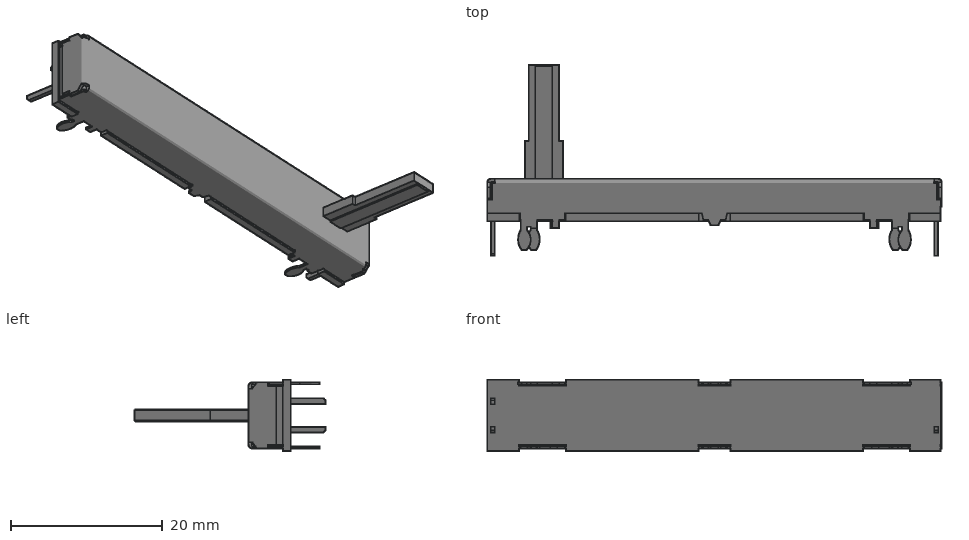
import cadquery as cq


BOARD_LENGTH = 59.8
BOARD_HEIGHT = 9.4
BOARD_THICKNESS = 1.1
TAB_CLEARANCE = 0.2
CENTRE_NOTCH = 4.2
STEP_TOP_Y = 2.0

COVER_LENGTH = 60.0
COVER_HEIGHT = 8.75
COVER_DEPTH = 4.55
WALL_SHEET = 0.3
BACK_SHEET = 0.5
BEND_RADIUS = 0.6
COVER_BACK = BOARD_THICKNESS + COVER_DEPTH
COVER_RIGHT = COVER_LENGTH / 2
COVER_LEFT = -COVER_RIGHT
BOARD_LEFT = COVER_LEFT
BOARD_RIGHT = BOARD_LEFT + BOARD_LENGTH
COVER_TOP = COVER_HEIGHT / 2
COVER_INNER_TOP = COVER_TOP - WALL_SHEET

FLAP_GAP = 0.2
FLAP_EDGE_Y = 1.9
EAR_START_Y = 3.05
EAR_END_Y = 4.5
EAR_SLANT_Y = COVER_BACK - BACK_SHEET
RELIEF_Y = COVER_BACK - BEND_RADIUS
RELIEF_LENGTH = 1.0
RELIEF_WIDTH = 0.85

SHOULDER_Y = 0.2
SIDE_TAB_LENGTH = 5.8
SIDE_TAB_X = 22.7
SNAP_X = 24.5
PEG_X = 20.95
PEG_SHIFT = 0.25
PEG_WIDTH = 0.9
PEG_TIP_Y = -0.9
CENTRE_TAB_ROOT = 3.35
CENTRE_TAB_EDGE = 2.95
BUMP_ROOT = 1.7
BUMP_TIP = 1.0
BUMP_TIP_Y = -0.55

STEM_WIDTH = 2.15
STEM_END_Y = -0.9
SLIT_WIDTH = 0.5
SLIT_END_Y = -0.7
LEAF_START_Y = -1.15
LEAF_MIDDLE_Y = -2.4
LEAF_TIP_Y = -3.8
LEAF_OUTER = -1.45
LEAF_INNER = 0.25
LEAF_TIP_OUTER = -0.95
LEAF_TIP_INNER = -0.3

LEVER_X = -22.5
LEVER_LENGTH = 15.0
LEVER_WIDTH = 4.0
LEVER_FOOT_LENGTH = 5.0
LEVER_FOOT_WIDTH = 5.05
LEVER_BLADE_HEIGHT = 1.3
RIB_WIDTH = 2.2
RIB_HEIGHT = 1.7

TERMINAL_LENGTH = 4.55
TERMINAL_THICKNESS = 0.55
TERMINAL_WIDTH = 0.8
TERMINAL_CHAMFER = 0.3
TERMINAL_X = 29.2
TERMINAL_SPACING = 3.8
TERMINAL_Z = TERMINAL_SPACING / 2
TERMINAL_PLACES = [(-TERMINAL_X, TERMINAL_Z), (-TERMINAL_X, -TERMINAL_Z), (TERMINAL_X, -TERMINAL_Z)]


def block(x_range, y_range, z_range):
    """Box between the given limits on each axis."""
    (x0, x1), (y0, y1), (z0, z1) = x_range, y_range, z_range
    return cq.Workplane("XY").box(x1 - x0, y1 - y0, z1 - z0, centered=False).translate((x0, y0, z0))


def mirrored_in_height(shape):
    """The shape together with its mirror image below Z = 0."""
    return shape.union(shape.mirror("XY"))


def wall_plate(outline):
    """Closed XY outline made into a piece of the upper long wall."""
    return outline.close().extrude(WALL_SHEET).translate((0, 0, COVER_INNER_TOP))


def make_board():
    """Board with notches for the cover tabs and a step that fits inside the cover."""
    board = block(
        (BOARD_LEFT, BOARD_RIGHT), (0, BOARD_THICKNESS), (-BOARD_HEIGHT / 2, BOARD_HEIGHT / 2)
    )
    side_notch = SIDE_TAB_LENGTH + 2 * TAB_CLEARANCE
    notches = [(-SIDE_TAB_X, side_notch), (0, CENTRE_NOTCH), (SIDE_TAB_X, side_notch)]
    for middle, length in notches:
        notch = block(
            (middle - length / 2, middle + length / 2),
            (0, BOARD_THICKNESS),
            (COVER_INNER_TOP - TAB_CLEARANCE, BOARD_HEIGHT / 2),
        )
        board = board.cut(mirrored_in_height(notch))
    step_end = COVER_RIGHT - BACK_SHEET
    step_side = COVER_INNER_TOP - TAB_CLEARANCE
    step = block(
        (-step_end, step_end), (BOARD_THICKNESS, STEP_TOP_Y), (-step_side, step_side)
    )
    return board.union(step)


def make_cover_shell():
    """Box open towards the board, with bent edges around its back wall."""
    outside = block(
        (COVER_LEFT, COVER_RIGHT), (BOARD_THICKNESS, COVER_BACK), (-COVER_TOP, COVER_TOP)
    ).faces(">Y").edges().fillet(BEND_RADIUS)
    inside = block(
        (COVER_LEFT + BACK_SHEET, COVER_RIGHT - BACK_SHEET),
        (BOARD_THICKNESS, COVER_BACK - BACK_SHEET),
        (-COVER_INNER_TOP, COVER_INNER_TOP),
    ).faces(">Y").edges().fillet(BEND_RADIUS - BACK_SHEET)
    return outside.cut(inside)


def make_end_cuts(end_x, inward):
    """Material removed at one end so that the end wall becomes a flap with two ears.

    inward is +1 or -1, the X direction from the end towards the middle.
    """
    def span(start, stop):
        return tuple(sorted((end_x + inward * start, end_x + inward * stop)))

    wall = span(0, BACK_SHEET)
    below_flap = block(wall, (BOARD_THICKNESS, FLAP_EDGE_Y), (-COVER_INNER_TOP, COVER_INNER_TOP))
    side_slit = block(wall, (FLAP_EDGE_Y, EAR_START_Y), (COVER_INNER_TOP - FLAP_GAP, COVER_INNER_TOP))
    ear_slit = block(wall, (EAR_START_Y - FLAP_GAP, EAR_START_Y), (COVER_INNER_TOP - FLAP_GAP, COVER_TOP))
    ear_gap = block(
        span(BACK_SHEET, BACK_SHEET + FLAP_GAP),
        (EAR_START_Y - FLAP_GAP, RELIEF_Y),
        (COVER_INNER_TOP, COVER_TOP),
    )
    slant_z = COVER_TOP - RELIEF_WIDTH
    slant = (
        cq.Workplane("YZ")
        .polyline([
            (EAR_END_Y, COVER_TOP),
            (EAR_SLANT_Y, slant_z),
            (COVER_BACK, slant_z),
            (COVER_BACK, COVER_TOP),
        ])
        .close()
        .extrude(inward * (BACK_SHEET + FLAP_GAP))
        .translate((end_x, 0, 0))
    )
    bend_relief = block(
        span(BACK_SHEET, RELIEF_LENGTH), (RELIEF_Y, COVER_BACK), (slant_z, COVER_TOP)
    )
    corner = side_slit.union(ear_slit).union(ear_gap).union(slant).union(bend_relief)
    return below_flap.union(mirrored_in_height(corner))


def make_overhang_cut():
    """Trims the long walls flush with the board at the +X end, leaving the flap proud."""
    strip = block(
        (BOARD_RIGHT, COVER_RIGHT), (BOARD_THICKNESS, EAR_START_Y), (COVER_INNER_TOP, COVER_TOP)
    )
    return mirrored_in_height(strip)


def make_snap_leg():
    """Stem and leaf for the upper wall at the -X end; the leaf hangs on the outer half."""
    half = STEM_WIDTH / 2
    slit_half = SLIT_WIDTH / 2
    outline = (
        cq.Workplane("XY")
        .moveTo(-half, SHOULDER_Y)
        .lineTo(-half, LEAF_START_Y)
        .threePointArc((LEAF_OUTER, LEAF_MIDDLE_Y), (LEAF_TIP_OUTER, LEAF_TIP_Y))
        .lineTo(LEAF_TIP_INNER, LEAF_TIP_Y)
        .threePointArc((LEAF_INNER, LEAF_MIDDLE_Y), (-slit_half, LEAF_START_Y))
        .lineTo(-slit_half, SLIT_END_Y)
        .lineTo(slit_half, SLIT_END_Y)
        .lineTo(slit_half, STEM_END_Y)
        .lineTo(half, STEM_END_Y)
        .lineTo(half, SHOULDER_Y)
    )
    return wall_plate(outline)


def make_side_tab(on_lower_wall):
    """Tab with snap leg and peg at the -X end of one long wall."""
    root = block(
        (-SIDE_TAB_X - SIDE_TAB_LENGTH / 2, -SIDE_TAB_X + SIDE_TAB_LENGTH / 2),
        (SHOULDER_Y, BOARD_THICKNESS),
        (COVER_INNER_TOP, COVER_TOP),
    )
    peg_x = -PEG_X
    leg = make_snap_leg()
    if on_lower_wall:
        peg_x -= PEG_SHIFT
        leg = leg.mirror("YZ")
    peg = block(
        (peg_x - PEG_WIDTH / 2, peg_x + PEG_WIDTH / 2), (PEG_TIP_Y, SHOULDER_Y), (COVER_INNER_TOP, COVER_TOP)
    )
    tab = root.union(leg.translate((-SNAP_X, 0, 0))).union(peg)
    if on_lower_wall:
        tab = tab.mirror("XY")
    return tab


def make_centre_tab():
    """Tapered tab with a small bump, on the upper wall."""
    right_side = [
        (BUMP_TIP / 2, BUMP_TIP_Y),
        (BUMP_ROOT / 2, SHOULDER_Y),
        (CENTRE_TAB_EDGE / 2, SHOULDER_Y),
        (CENTRE_TAB_ROOT / 2, BOARD_THICKNESS),
    ]
    left_side = [(-x, y) for x, y in reversed(right_side)]
    return wall_plate(cq.Workplane("XY").polyline(right_side + left_side))


def make_cover():
    cover = make_cover_shell()
    cover = cover.cut(make_end_cuts(COVER_LEFT, 1)).cut(make_end_cuts(COVER_RIGHT, -1))
    cover = cover.cut(make_overhang_cut())
    for on_lower_wall in (False, True):
        tab = make_side_tab(on_lower_wall)
        cover = cover.union(tab).union(tab.mirror("YZ"))
    return cover.union(mirrored_in_height(make_centre_tab()))


def make_lever():
    """Stepped blade with a central rib on both faces, standing on the back of the cover."""
    def bar(width, length, height):
        return block(
            (LEVER_X - width / 2, LEVER_X + width / 2),
            (COVER_BACK, COVER_BACK + length),
            (-height / 2, height / 2),
        )

    blade = bar(LEVER_WIDTH, LEVER_LENGTH, LEVER_BLADE_HEIGHT)
    foot = bar(LEVER_FOOT_WIDTH, LEVER_FOOT_LENGTH, LEVER_BLADE_HEIGHT)
    rib_chamfer = (RIB_HEIGHT - LEVER_BLADE_HEIGHT) / 2
    rib = bar(RIB_WIDTH, LEVER_LENGTH, RIB_HEIGHT).faces(">Y").edges("|X").chamfer(rib_chamfer)
    return blade.union(foot).union(rib)


def make_terminal(x, z):
    """Flat pin on the board face, its tip cut on the corner away from the middle."""
    outer_edge = ">Z" if z > 0 else "<Z"
    pin = block(
        (x - TERMINAL_THICKNESS / 2, x + TERMINAL_THICKNESS / 2),
        (-TERMINAL_LENGTH, 0),
        (z - TERMINAL_WIDTH / 2, z + TERMINAL_WIDTH / 2),
    )
    return pin.faces("<Y").edges(outer_edge).chamfer(TERMINAL_CHAMFER)


board = make_board()
cover = make_cover()
lever = make_lever()
terminals = [make_terminal(x, z) for x, z in TERMINAL_PLACES]

bodies = [board, cover, lever] + terminals
result = cq.Compound.makeCompound([body.solids().val() for body in bodies])